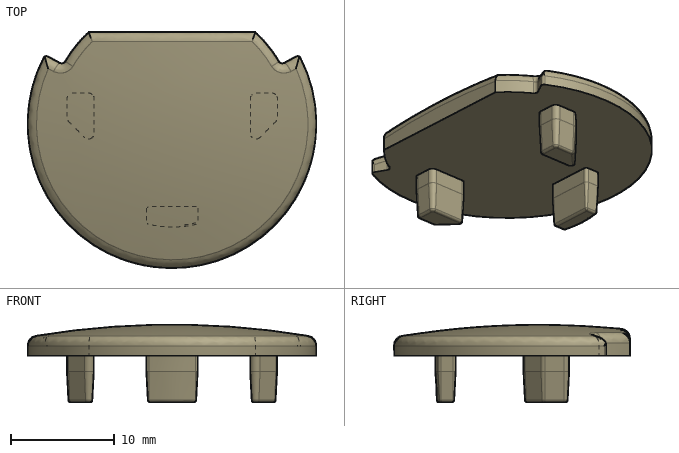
import cadquery as cq
import math

disc_radius = 14.0
step_radius = 12.0
flat_y = 8.9
dome_height = 3.06
dome_radius = 80.0
rim_round = 1.0

notch_angle = 28.5
notch_corner_round = 0.4
notch_tip_round = 0.3

leg_length = 4.5
leg_straight_length = 1.5
leg_draft = 3.0
leg_foot_round = 0.25

front_leg_width = 5.0
front_leg_inner_y = -8.0
front_leg_outer_radius = 10.0
front_leg_corner_round = 0.3

side_leg_inner_x = 7.57
side_leg_outer_x = 10.2
side_leg_back_y = 3.0
side_leg_shoulder_y = 0.4
side_leg_corner_round = 0.55


def polar(radius, angle):
    """Point at the given radius and angle in degrees."""
    return radius * math.cos(math.radians(angle)), radius * math.sin(math.radians(angle))


def mirrored(point):
    """The point reflected to the other side of the YZ plane."""
    return -point[0], point[1]


def plate_blank():
    """Plate outline with its two notches, extruded to the crown height."""
    flat_end = (math.sqrt(step_radius**2 - flat_y**2), flat_y)
    flat_end_angle = math.degrees(math.atan2(flat_y, flat_end[0]))
    step_middle = polar(step_radius, (flat_end_angle + notch_angle) / 2)
    notch_root = polar(step_radius, notch_angle)
    notch_tip = polar(disc_radius, notch_angle)
    return (
        cq.Workplane("XY")
        .moveTo(*mirrored(flat_end))
        .lineTo(*flat_end)
        .threePointArc(step_middle, notch_root)
        .lineTo(*notch_tip)
        .threePointArc((0, -disc_radius), mirrored(notch_tip))
        .lineTo(*mirrored(notch_root))
        .threePointArc(mirrored(step_middle), mirrored(flat_end))
        .close()
        .extrude(dome_height)
    )


def notch_edges_at(radius):
    """Selector for the vertical edge of each notch wall at the given radius."""
    x, y = polar(radius, notch_angle)
    reach = 0.1

    def around(edge_x):
        low = (edge_x - reach, y - reach, -reach)
        high = (edge_x + reach, y + reach, dome_height + reach)
        return cq.selectors.BoxSelector(low, high)

    return around(x) + around(-x)


def round_notch_edges(plate, radius, rounding):
    return plate.edges("|Z").edges(notch_edges_at(radius)).fillet(rounding)


def domed_plate():
    """Domed plate with a rounded rim; the sharp tips beside the notches are trimmed round afterwards."""
    dome = cq.Workplane("XY").sphere(dome_radius)
    dome = dome.rotate((0, 0, 0), (0, 1, 0), 90)
    dome = dome.translate((0, 0, dome_height - dome_radius))
    blank = round_notch_edges(plate_blank(), step_radius, notch_corner_round)
    sharp_plate = blank.intersect(dome).faces(">Z").edges().fillet(rim_round)
    tip_trim = blank.cut(round_notch_edges(blank, disc_radius, notch_tip_round))
    return sharp_plate.cut(tip_trim)


def leg(outline, corner_round):
    """Leg below the plate: a straight stretch, then a drafted stretch with a rounded foot."""
    straight = outline.extrude(-leg_straight_length).edges("|Z").fillet(corner_round)
    drafted = (
        straight.faces("<Z")
        .wires()
        .toPending()
        .workplane()
        .extrude(leg_length - leg_straight_length, taper=leg_draft, combine=False)
    )
    return straight.union(drafted, clean=False).faces("<Z").edges().fillet(leg_foot_round)


def front_leg():
    """Leg on the -Y side of the plate."""
    half_width = front_leg_width / 2
    outer_corner_y = -math.sqrt(front_leg_outer_radius**2 - half_width**2)
    outline = (
        cq.Workplane("XY")
        .moveTo(-half_width, front_leg_inner_y)
        .lineTo(-half_width, outer_corner_y)
        .threePointArc((0, -front_leg_outer_radius), (half_width, outer_corner_y))
        .lineTo(half_width, front_leg_inner_y)
        .close()
    )
    return leg(outline, front_leg_corner_round)


def side_leg(side):
    """Leg on the +X (side = 1) or -X (side = -1) side of the plate."""
    front_y = side_leg_shoulder_y - (side_leg_outer_x - side_leg_inner_x)
    outline = (
        cq.Workplane("XY")
        .moveTo(side * side_leg_inner_x, side_leg_back_y)
        .lineTo(side * side_leg_outer_x, side_leg_back_y)
        .lineTo(side * side_leg_outer_x, side_leg_shoulder_y)
        .lineTo(side * side_leg_inner_x, front_y)
        .close()
    )
    return leg(outline, side_leg_corner_round)


result = domed_plate().union(front_leg()).union(side_leg(-1)).union(side_leg(1))